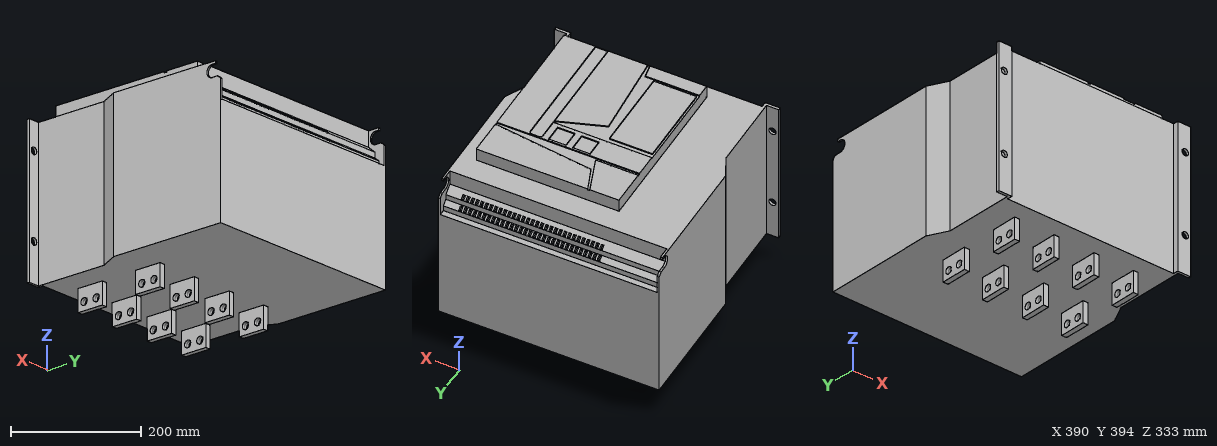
import cadquery as cq
import math

DEPTH = 394.0
BODY_HEIGHT = 270.0
REAR_HALF_WIDTH = 192.0
FRONT_HALF_WIDTH = 173.8
FRONT_FACE_Y = 10.0
TAPER_START_Y = 139.0
TAPER_END_Y = 175.0

FLANGE_HALF_WIDTH = 195.0
FLANGE_THICKNESS = 5.0
FLANGE_HOLE_X = 184.0
FLANGE_HOLE_HEIGHTS = (70.5, 220.0)
FLANGE_HOLE_DIAMETER = 12.2

SIDE_PLATE_THICKNESS = 3.5
RECESS_HALF_WIDTH = REAR_HALF_WIDTH - SIDE_PLATE_THICKNESS
RECESS_FRONT_Y = 362.0
TIER_STEP_Y = 375.5
FLOOR_FRONT_Y = 383.8
VENT_SLOPE = 40.0
UPPER_TIER_Z = 242.5
TIER_DROP = 10.0


def slope_drop(run):
    return run * math.tan(math.radians(VENT_SLOPE))


UPPER_TIER_END_Z = UPPER_TIER_Z - slope_drop(TIER_STEP_Y - RECESS_FRONT_Y)
LOWER_TIER_Z = UPPER_TIER_END_Z - TIER_DROP
LOWER_TIER_END_Z = LOWER_TIER_Z - slope_drop(FLOOR_FRONT_Y - TIER_STEP_Y)
FLOOR_Z = LOWER_TIER_END_Z - TIER_DROP


VENT_COUNT = 31
VENT_ROW_SPAN = 240.5
VENT_PITCH = VENT_ROW_SPAN / (VENT_COUNT - 1)
VENT_ROW_CENTER_X = 39.8
VENT_WIDTH = 4.5
VENT_LENGTH = 8.0
VENT_DEPTH = 6.5
VENT_EDGE_MARGIN = 1.0

NOTCH_HEIGHT = 21.5
NOTCH_RADIUS = NOTCH_HEIGHT / 2
NOTCH_CENTER_Y = 376.5
NOTCH_CENTER_Z = 254.5
HOOK_END_Y = 383.0
LEAD_IN_DEPTH = 6.5

COVER_X_MIN = -84.0
COVER_X_MAX = 164.0
COVER_Y_MIN = 31.5
COVER_Y_MAX = 321.5
COVER_HEIGHT = 23.2
PLATE_RISE = 2.0
COVER_BASE_Z = BODY_HEIGHT + COVER_HEIGHT - PLATE_RISE
UPPER_PLATES_Y = 258.0
MAIN_PLATE_TOP_Y = 253.5
CONTROL_STRIP_Y = 213.0
GROOVE_X_MIN = 87.5
GROOVE_X_MAX = 109.0
GROOVE_TOP_Y = 251.8
GROOVE_CHAMFER = 2.8
UPPER_LEFT_TOP_X = -33.0
UPPER_LEFT_BOTTOM_X = -10.0
UPPER_RIGHT_TOP_X = -29.5
UPPER_RIGHT_CORNER = (-13.5, 279.7)
DISPLAY_X_MIN = -80.8
DISPLAY_X_MAX = -6.0
DISPLAY_Y_MIN = 59.5
DISPLAY_Y_MAX = 205.0
LOWER_LEFT_TOP_Y = 55.0
LOWER_LEFT_TOP_X = 10.5
LOWER_LEFT_BOTTOM_X = 15.0
LOWER_MIDDLE_BOTTOM_X = 18.5
LOWER_MIDDLE_CORNER = (8.0, 181.2)
LOWER_MIDDLE_TOP_Y = 209.5
WINDOW_SIZE = 30.0
WINDOW_Y = 235.0
WINDOW_CENTERS_X = (19.5, 61.0)

TERMINAL_XS = (-120.5, -40.5, 40.5, 120.5)
TERMINAL_YS = (68.0, 186.5)
TERMINAL_THICKNESS = 10.0
TERMINAL_WIDTH = 50.0
TERMINAL_LENGTH = 39.8
TERMINAL_HOLE_DIAMETER = 12.5
TERMINAL_HOLE_PITCH = 25.0
TERMINAL_HOLE_DROP = 24.5


def box(x_min, x_max, y_min, y_max, z_min, z_max):
    size = (x_max - x_min, y_max - y_min, z_max - z_min)
    return cq.Workplane("XY").box(*size, centered=False).translate((x_min, y_min, z_min))


def side_prism(outline, half_width):
    """Extrude a (y, z) outline along X, symmetric about the mid plane."""
    return cq.Workplane("YZ").polyline(outline).close().extrude(half_width, both=True)


def raised_plate(outline):
    """Plate with an (x, y) outline standing on the cover base."""
    return cq.Workplane("XY", origin=(0, 0, COVER_BASE_Z)).polyline(outline).close().extrude(PLATE_RISE)


def make_body():
    flange_inner_x = FRONT_HALF_WIDTH - FLANGE_THICKNESS
    right_side = [
        (flange_inner_x, FRONT_FACE_Y),
        (flange_inner_x, 0),
        (FLANGE_HALF_WIDTH, 0),
        (FLANGE_HALF_WIDTH, FLANGE_THICKNESS),
        (FRONT_HALF_WIDTH, FLANGE_THICKNESS),
        (FRONT_HALF_WIDTH, TAPER_START_Y),
        (REAR_HALF_WIDTH, TAPER_END_Y),
        (REAR_HALF_WIDTH, DEPTH),
    ]
    left_side = [(-x, y) for x, y in reversed(right_side)]
    body = cq.Workplane("XY").polyline(right_side + left_side).close().extrude(BODY_HEIGHT)
    hole_points = [(x, z) for x in (-FLANGE_HOLE_X, FLANGE_HOLE_X) for z in FLANGE_HOLE_HEIGHTS]
    holes = (
        cq.Workplane("XZ")
        .pushPoints(hole_points)
        .circle(FLANGE_HOLE_DIAMETER / 2)
        .extrude(-FLANGE_THICKNESS)
    )
    return body.cut(holes)


def make_rear_recess():
    outline = [
        (RECESS_FRONT_Y, BODY_HEIGHT),
        (RECESS_FRONT_Y, UPPER_TIER_Z),
        (TIER_STEP_Y, UPPER_TIER_END_Z),
        (TIER_STEP_Y, LOWER_TIER_Z),
        (FLOOR_FRONT_Y, LOWER_TIER_END_Z),
        (FLOOR_FRONT_Y, FLOOR_Z),
        (DEPTH, FLOOR_Z),
        (DEPTH, BODY_HEIGHT),
    ]
    return side_prism(outline, RECESS_HALF_WIDTH)


def make_vent_row(edge_y, edge_z):
    """Row of slots running up a slope from just inside its lower edge at (edge_y, edge_z)."""
    plane = cq.Plane(origin=(VENT_ROW_CENTER_X, edge_y, edge_z), xDir=(1, 0, 0), normal=(0, 0, 1))
    slope_plane = plane.rotated((-VENT_SLOPE, 0, 0))
    return (
        cq.Workplane(slope_plane)
        .center(0, -VENT_EDGE_MARGIN - VENT_LENGTH / 2)
        .rarray(VENT_PITCH, 4, VENT_COUNT, 1)
        .rect(VENT_WIDTH, VENT_LENGTH)
        .extrude(-VENT_DEPTH)
    )


def make_hook_notch():
    bottom_z = NOTCH_CENTER_Z - NOTCH_RADIUS
    top_z = NOTCH_CENTER_Z + NOTCH_RADIUS
    return (
        cq.Workplane("YZ")
        .moveTo(HOOK_END_Y, top_z)
        .lineTo(NOTCH_CENTER_Y, top_z)
        .threePointArc((NOTCH_CENTER_Y - NOTCH_RADIUS, NOTCH_CENTER_Z), (NOTCH_CENTER_Y, bottom_z))
        .lineTo(DEPTH - LEAD_IN_DEPTH, bottom_z)
        .lineTo(DEPTH, bottom_z - slope_drop(LEAD_IN_DEPTH))
        .lineTo(DEPTH, BODY_HEIGHT)
        .lineTo(HOOK_END_Y, BODY_HEIGHT)
        .close()
        .extrude(REAR_HALF_WIDTH, both=True)
    )


def make_main_plate():
    """Control strip and right-hand panel in one, with the groove and two windows left low."""
    plate = raised_plate([
        (COVER_X_MIN, MAIN_PLATE_TOP_Y),
        (COVER_X_MIN, CONTROL_STRIP_Y),
        (GROOVE_X_MIN, CONTROL_STRIP_Y),
        (GROOVE_X_MIN, GROOVE_TOP_Y - GROOVE_CHAMFER),
        (GROOVE_X_MIN + GROOVE_CHAMFER, GROOVE_TOP_Y),
        (GROOVE_X_MAX - GROOVE_CHAMFER, GROOVE_TOP_Y),
        (GROOVE_X_MAX, GROOVE_TOP_Y - GROOVE_CHAMFER),
        (GROOVE_X_MAX, COVER_Y_MIN),
        (COVER_X_MAX, COVER_Y_MIN),
        (COVER_X_MAX, MAIN_PLATE_TOP_Y),
    ])
    windows = (
        cq.Workplane("XY", origin=(0, 0, COVER_BASE_Z))
        .pushPoints([(x, WINDOW_Y) for x in WINDOW_CENTERS_X])
        .rect(WINDOW_SIZE, WINDOW_SIZE)
        .extrude(PLATE_RISE)
    )
    return plate.cut(windows)


def make_cover():
    base = box(COVER_X_MIN, COVER_X_MAX, COVER_Y_MIN, COVER_Y_MAX, BODY_HEIGHT, COVER_BASE_Z)
    upper_left = raised_plate([
        (COVER_X_MIN, COVER_Y_MAX),
        (COVER_X_MIN, UPPER_PLATES_Y),
        (UPPER_LEFT_BOTTOM_X, UPPER_PLATES_Y),
        (UPPER_LEFT_TOP_X, COVER_Y_MAX),
    ])
    upper_right = raised_plate([
        (UPPER_RIGHT_TOP_X, COVER_Y_MAX),
        UPPER_RIGHT_CORNER,
        (COVER_X_MAX, UPPER_PLATES_Y),
        (COVER_X_MAX, COVER_Y_MAX),
    ])
    display = raised_plate([
        (DISPLAY_X_MIN, DISPLAY_Y_MIN),
        (DISPLAY_X_MAX, DISPLAY_Y_MIN),
        (DISPLAY_X_MAX, DISPLAY_Y_MAX),
        (DISPLAY_X_MIN, DISPLAY_Y_MAX),
    ])
    lower_left = raised_plate([
        (COVER_X_MIN, COVER_Y_MIN),
        (LOWER_LEFT_BOTTOM_X, COVER_Y_MIN),
        (LOWER_LEFT_TOP_X, LOWER_LEFT_TOP_Y),
        (COVER_X_MIN, LOWER_LEFT_TOP_Y),
    ])
    lower_middle = raised_plate([
        (LOWER_MIDDLE_BOTTOM_X, COVER_Y_MIN),
        (GROOVE_X_MIN, COVER_Y_MIN),
        (GROOVE_X_MIN, LOWER_MIDDLE_TOP_Y),
        LOWER_MIDDLE_CORNER,
    ])
    cover = base.union(make_main_plate())
    for plate in (upper_left, upper_right, display, lower_left, lower_middle):
        cover = cover.union(plate)
    return cover


def make_terminal(x, y):
    half_thickness = TERMINAL_THICKNESS / 2
    half_width = TERMINAL_WIDTH / 2
    bar = box(x - half_thickness, x + half_thickness, y - half_width, y + half_width, -TERMINAL_LENGTH, 0)
    half_pitch = TERMINAL_HOLE_PITCH / 2
    holes = (
        cq.Workplane("YZ", origin=(x, y, -TERMINAL_HOLE_DROP))
        .pushPoints([(-half_pitch, 0), (half_pitch, 0)])
        .circle(TERMINAL_HOLE_DIAMETER / 2)
        .extrude(half_thickness, both=True)
    )
    return bar.cut(holes)


result = make_body().cut(make_rear_recess()).cut(make_hook_notch())
result = result.cut(make_vent_row(TIER_STEP_Y, UPPER_TIER_END_Z))
result = result.cut(make_vent_row(FLOOR_FRONT_Y, LOWER_TIER_END_Z))
result = result.union(make_cover())
for terminal_x in TERMINAL_XS:
    for terminal_y in TERMINAL_YS:
        result = result.union(make_terminal(terminal_x, terminal_y))